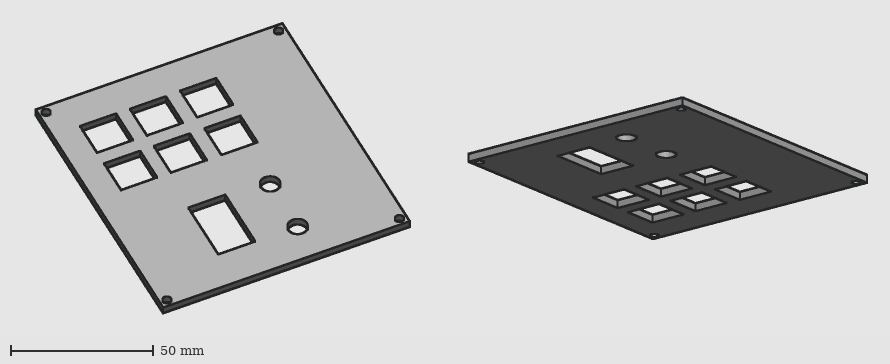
import cadquery as cq

plate_width = 104.5
plate_depth = 96.0
plate_thickness = 3.0

mount_hole_diameter = 3.2
mount_hole_inset = 2.75

key_size = 14.0
key_row_centers = (17.7, 37.05, 56.75)
left_key_x_centers = (20.8, 20.9, 20.65)
right_key_x = 40.5

control_hole_diameter = 7.25
control_hole_x_centers = (67.35, 89.85)
control_hole_y = 59.3

window_width = 24.6
window_depth = 14.35
window_center = (77.55, 35.6)


def make_plate():
    """Flat rectangular plate standing on the XY plane."""
    return cq.Workplane("XY").box(plate_width, plate_depth, plate_thickness, centered=False)


def round_holes(points, diameter):
    """Cylinders through the full plate thickness."""
    return cq.Workplane("XY").pushPoints(points).circle(diameter / 2).extrude(plate_thickness)


def rectangular_openings(points, width, depth):
    """Blocks through the full plate thickness."""
    return cq.Workplane("XY").pushPoints(points).rect(width, depth).extrude(plate_thickness)


mount_points = [
    (x, y)
    for x in (mount_hole_inset, plate_width - mount_hole_inset)
    for y in (mount_hole_inset, plate_depth - mount_hole_inset)
]
left_key_points = list(zip(left_key_x_centers, key_row_centers))
right_key_points = [(right_key_x, y) for y in key_row_centers]
control_points = [(x, control_hole_y) for x in control_hole_x_centers]

result = (
    make_plate()
    .cut(round_holes(mount_points, mount_hole_diameter))
    .cut(rectangular_openings(left_key_points + right_key_points, key_size, key_size))
    .cut(round_holes(control_points, control_hole_diameter))
    .cut(rectangular_openings([window_center], window_width, window_depth))
)